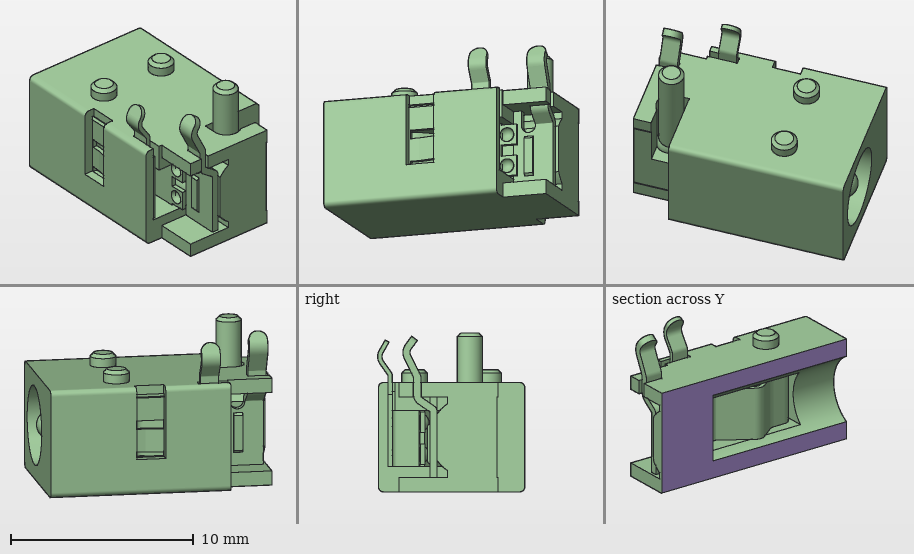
import cadquery as cq
import math


BODY_LENGTH = 10.02
BODY_WIDTH = 8.02
BODY_HEIGHT = 6.0
EDGE_RADIUS = 0.3
TOTAL_LENGTH = 12.5
BORE_Y = 5.01
BORE_Z = BODY_HEIGHT / 2
BORE_RADIUS = 2.2
BORE_DEPTH = 9.0
PEG_X = 4.0
PEG_YS = (1.99, 6.04)
PEG_RADIUS = 0.71
PEG_HEIGHT = 0.7
TOP_CHAMFER = 0.2

PLATE_THICKNESS = 0.8
PLATE_FRONT_Y = 1.12
PLATE_BACK_Y = 6.55
CORE_BACK_Y = 6.5
CORE_FRONT_Y = 3.8
SEAT_Y = 3.22
NOTCH_LENGTH = 1.45

PIN_RADIUS = 0.8
PIN_TIP_X = 0.12
POST_X = 10.8
ELBOW_X = 10.85
POST_RADIUS = 0.7
POST_TOP_Z = 8.7

TERMINAL_WIDTH = 1.02
TIP_RADIUS = 0.5
BEND_RADIUS = 0.56
SHARP_BEND_RADIUS = 0.22

SPRING_THICKNESS = 0.25
WALL_THICKNESS = 0.52
SPRING_Y = WALL_THICKNESS + SPRING_THICKNESS / 2
SHEET_REAR_X = 9.89
SHEET_TOP_Z = 5.32
BLADE_BOTTOM_Z = 1.4
BLADE_TOP_Z = 4.46
BLADE_MID_Z = (BLADE_BOTTOM_Z + BLADE_TOP_Z) / 2
FOLD_X = 3.0
BLADE_ENTRY = (4.32, 2.75)
BLADE_PEAK = (5.6, 3.72)
BLADE_EXIT = (7.69, 2.35)
FOLD_RADIUS = 0.38
ENTRY_BEND_RADIUS = 0.75
PEAK_BEND_RADIUS = 0.44
SPRING_TERMINAL_X = 8.4
SPRING_TAIL_BEND_Z = 6.42
SPRING_TAIL_CREST = (-0.019, 7.38)
SPRING_TAIL_TIP = (0.49, 8.26)
BARB_WIDTH = 1.28
BARB_MID_Z = 2.94
BARB_BEND_X = 5.38
BARB_BEND_RADIUS = 0.14
BARB_CLEARANCE = 0.019
BARB_TIP_Y = 0.45
BARB_SLIT_X = 4.85
BARB_SLIT_TOP_Z = 4.05
FINGER_END_X = 10.36
FINGER_ROOT_X = 9.5
FINGER_WIDTH = 1.12
FINGER_SPACING = 1.75
DIMPLE_X = 9.82
DIMPLE_RADIUS = 0.39
DOME_RADIUS = 0.5
FINGER_FACE_Y = 2.28
FINGER_RISE = 0.04

POCKET_BACK_Y = 0.92
POCKET_TOP_Z = 5.5
CAVITY_FRONT_X = 2.75
CAVITY_BACK_Y = 3.76
WINDOW_X = 4.78
WINDOW_LENGTH = 1.61
WINDOW_BOTTOM_Z = 2.0
WINDOW_DEPTH = 0.64
SPRING_SLOT_X = 8.31

SWITCH_THICKNESS = 0.4
SWITCH_Y = SEAT_Y - SWITCH_THICKNESS / 2
SWITCH_END_X = 12.32
SWITCH_TERMINAL_X = SWITCH_END_X - TERMINAL_WIDTH
CRANK_BEND_RADIUS = 0.38
CRANK_BOTTOM_Z = 4.49
CRANK_TOP_Z = 5.1
SWITCH_TAIL_BEND_Z = 6.3
SWITCH_TAIL_CREST = (1.45, 7.69)
SWITCH_TAIL_TIP = (1.99, 8.41)
SWITCH_TAIL_ROOT_Z = 4.25
SWITCH_STEM_Y = 2.14
SWITCH_SLOT_YS = (1.89, 2.38)
RELIEF_WIDTH = 0.81
RELIEF_BOTTOM_Z = 3.96
RIB_X = 10.68
RIB_WIDTH = 0.5
RIB_HEIGHT = 0.14
RIB_EDGE = 0.006
RIB_ZS = (1.52, 3.75)


def block(x0, x1, y0, y1, z0, z1):
    """Box between two opposite corners."""
    return cq.Workplane("XY").box(x1 - x0, y1 - y0, z1 - z0, centered=False).translate((x0, y0, z0))


def rod_x(radius, x0, x1):
    """Cylinder along X on the bore axis."""
    return cq.Workplane("YZ", origin=(x0, BORE_Y, BORE_Z)).circle(radius).extrude(x1 - x0)


def bent_strip(plane, points, radii, thickness):
    """Closed outline of a sheet strip from the corners and bend radii of its middle line."""
    directions = []
    for (u0, v0), (u1, v1) in zip(points, points[1:]):
        length = math.hypot(u1 - u0, v1 - v0)
        directions.append(((u1 - u0) / length, (v1 - v0) / length))

    def side(offset):
        """One face of the strip: start point, three points on each bend arc, and end point."""
        start = (points[0][0] - directions[0][1] * offset, points[0][1] + directions[0][0] * offset)
        end = (points[-1][0] - directions[-1][1] * offset, points[-1][1] + directions[-1][0] * offset)
        arcs = []
        for corner, before, after, radius in zip(points[1:-1], directions, directions[1:], radii):
            turn = math.atan2(before[0] * after[1] - before[1] * after[0],
                              before[0] * after[0] + before[1] * after[1])
            sign = math.copysign(1, turn)
            setback = radius * math.tan(abs(turn) / 2)
            centre = (corner[0] - before[0] * setback - before[1] * sign * radius,
                      corner[1] - before[1] * setback + before[0] * sign * radius)
            reach = radius - sign * offset
            first_angle = math.atan2(-before[0] * sign, before[1] * sign)
            arcs.append([(centre[0] + reach * math.cos(first_angle + turn * part),
                          centre[1] + reach * math.sin(first_angle + turn * part))
                         for part in (0, 0.5, 1)])
        return start, arcs, end

    left_start, left_arcs, left_end = side(thickness / 2)
    right_start, right_arcs, right_end = side(-thickness / 2)
    outline = cq.Workplane(plane).moveTo(*left_start)
    for first, middle, last in left_arcs:
        outline = outline.lineTo(*first).threePointArc(middle, last)
    outline = outline.lineTo(*left_end).lineTo(*right_end)
    for first, middle, last in reversed(right_arcs):
        outline = outline.lineTo(*last).threePointArc(middle, first)
    return outline.lineTo(*right_start).close()


def terminal(x0, points, radii, thickness):
    """Upright solder tail bent in the YZ plane, with a round tip."""
    tail = bent_strip("YZ", points, radii, thickness).extrude(TERMINAL_WIDTH).translate((x0, 0, 0))
    tip_y, tip_z = points[-1]
    for x in (x0, x0 + TERMINAL_WIDTH):
        corner = cq.selectors.NearestToPointSelector((x, tip_y, tip_z))
        tail = tail.edges(corner).fillet(TIP_RADIUS)
    return tail


def upright_post(x, y, radius, z0, z1):
    """Round post with a chamfered top."""
    post = cq.Workplane("XY", origin=(x, y, z0)).circle(radius).extrude(z1 - z0)
    return post.faces(">Z").chamfer(TOP_CHAMFER)


def make_pin():
    """Round-nosed pin with a vertical solder post at its rear end."""
    elbow = cq.Workplane("XY").sphere(PIN_RADIUS).translate((ELBOW_X, BORE_Y, BORE_Z))
    nose_x = PIN_TIP_X + PIN_RADIUS
    nose = cq.Workplane("XY").sphere(PIN_RADIUS).translate((nose_x, BORE_Y, BORE_Z))
    post = upright_post(POST_X, BORE_Y, POST_RADIUS, BORE_Z, POST_TOP_Z)
    return rod_x(PIN_RADIUS, nose_x, ELBOW_X).union(nose).union(elbow).union(post)


def make_rear_frame():
    """Top and bottom plates with a core wall whose rounded boss carries the switch contact."""
    top_z = BODY_HEIGHT - PLATE_THICKNESS
    core = block(BODY_LENGTH, TOTAL_LENGTH, CORE_FRONT_Y, CORE_BACK_Y, PLATE_THICKNESS, top_z)
    boss = rod_x(BORE_RADIUS, BODY_LENGTH, TOTAL_LENGTH).intersect(
        block(BODY_LENGTH, TOTAL_LENGTH, SEAT_Y, BORE_Y, 0, BODY_HEIGHT)
    )
    frame = core.union(boss)
    for z in (0, top_z):
        plate = block(BODY_LENGTH, TOTAL_LENGTH, PLATE_FRONT_Y, PLATE_BACK_Y, z, z + PLATE_THICKNESS)
        frame = frame.union(plate)
    notch = block(BODY_LENGTH, BODY_LENGTH + NOTCH_LENGTH, BORE_Y, PLATE_BACK_Y, BORE_Z, BODY_HEIGHT)
    post_slot = (
        block(BODY_LENGTH, ELBOW_X, BORE_Y - PIN_RADIUS, BORE_Y + PIN_RADIUS, BORE_Z, BODY_HEIGHT)
        .union(cq.Workplane("XY", origin=(ELBOW_X, BORE_Y, BORE_Z)).circle(PIN_RADIUS).extrude(BORE_Z))
    )
    terminal_slot = block(SWITCH_TERMINAL_X, TOTAL_LENGTH, *SWITCH_SLOT_YS, top_z, BODY_HEIGHT)
    return frame.cut(notch).cut(post_slot).cut(terminal_slot)


def make_housing(pin):
    """Body with pegs, plug bore, spring pocket and window, bored out to hold the pin."""
    body = block(0, BODY_LENGTH, 0, BODY_WIDTH, 0, BODY_HEIGHT).edges("|X").fillet(EDGE_RADIUS)
    housing = body.union(make_rear_frame())
    for y in PEG_YS:
        housing = housing.union(
            upright_post(PEG_X, y, PEG_RADIUS, BODY_HEIGHT, BODY_HEIGHT + PEG_HEIGHT))
    bore = rod_x(BORE_RADIUS, 0, BORE_DEPTH)
    sheet_pocket = block(CAVITY_FRONT_X, BODY_LENGTH, WALL_THICKNESS, POCKET_BACK_Y,
                         BLADE_BOTTOM_Z, POCKET_TOP_Z)
    blade_cavity = block(CAVITY_FRONT_X, BODY_LENGTH, WALL_THICKNESS, CAVITY_BACK_Y,
                         BLADE_BOTTOM_Z, BLADE_TOP_Z)
    terminal_slot = block(SPRING_SLOT_X, BODY_LENGTH, WALL_THICKNESS, POCKET_BACK_Y,
                          POCKET_TOP_Z, BODY_HEIGHT)
    window = block(WINDOW_X, WINDOW_X + WINDOW_LENGTH, 0, WINDOW_DEPTH, WINDOW_BOTTOM_Z, BODY_HEIGHT)
    for opening in (bore, sheet_pocket, blade_cavity, terminal_slot, window):
        housing = housing.cut(opening)
    return housing.cut(pin)


def make_spring_contact():
    """Sheet folded at the front into a blade that bows into the bore and ends in two fingers."""
    blade_path = [
        (SHEET_REAR_X, SPRING_Y),
        (FOLD_X, SPRING_Y),
        (FOLD_X, BLADE_ENTRY[1]),
        BLADE_ENTRY,
        BLADE_PEAK,
        BLADE_EXIT,
        (FINGER_END_X, FINGER_FACE_Y + FINGER_RISE + SPRING_THICKNESS / 2),
    ]
    blade_bends = [FOLD_RADIUS, FOLD_RADIUS, ENTRY_BEND_RADIUS, PEAK_BEND_RADIUS, SHARP_BEND_RADIUS]
    blade_height = BLADE_TOP_Z - BLADE_BOTTOM_Z
    contact = (
        bent_strip("XY", blade_path, blade_bends, SPRING_THICKNESS)
        .extrude(blade_height)
        .translate((0, 0, BLADE_BOTTOM_Z))
    )
    sheet_back_y = WALL_THICKNESS + SPRING_THICKNESS
    contact = contact.union(
        block(FOLD_X + BEND_RADIUS, SHEET_REAR_X, WALL_THICKNESS, sheet_back_y, BLADE_TOP_Z, SHEET_TOP_Z))

    gaps = block(FINGER_ROOT_X, TOTAL_LENGTH, POCKET_BACK_Y, CAVITY_BACK_Y, BLADE_BOTTOM_Z, BLADE_TOP_Z)
    finger_zs = [BLADE_MID_Z + side * FINGER_SPACING / 2 for side in (-1, 1)]
    for z in finger_zs:
        gaps = gaps.cut(block(FINGER_ROOT_X, TOTAL_LENGTH, POCKET_BACK_Y, CAVITY_BACK_Y,
                              z - FINGER_WIDTH / 2, z + FINGER_WIDTH / 2))
    contact = contact.cut(gaps)
    dome_side = block(FINGER_ROOT_X, TOTAL_LENGTH, FINGER_FACE_Y + SPRING_THICKNESS / 2, CAVITY_BACK_Y,
                      BLADE_BOTTOM_Z, BLADE_TOP_Z)
    for z in finger_zs:
        centre = (DIMPLE_X, FINGER_FACE_Y, z)
        dome = cq.Workplane("XY").sphere(DOME_RADIUS).translate(centre).intersect(dome_side)
        dimple = cq.Workplane("XY").sphere(DIMPLE_RADIUS).translate(centre)
        contact = contact.union(dome).cut(dimple)

    window_end_x = WINDOW_X + WINDOW_LENGTH
    contact = contact.cut(
        block(BARB_SLIT_X, window_end_x, WALL_THICKNESS, sheet_back_y, WINDOW_BOTTOM_Z, BARB_SLIT_TOP_Z))
    barb_path = [(BARB_SLIT_X, SPRING_Y), (BARB_BEND_X, SPRING_Y), (window_end_x - BARB_CLEARANCE, BARB_TIP_Y)]
    barb = bent_strip("XY", barb_path, [BARB_BEND_RADIUS], SPRING_THICKNESS).extrude(BARB_WIDTH)
    contact = contact.union(barb.translate((0, 0, BARB_MID_Z - BARB_WIDTH / 2)))

    tail_path = [(SPRING_Y, SHEET_TOP_Z), (SPRING_Y, SPRING_TAIL_BEND_Z), SPRING_TAIL_CREST, SPRING_TAIL_TIP]
    tail = terminal(SPRING_TERMINAL_X, tail_path, [SHARP_BEND_RADIUS, BEND_RADIUS], SPRING_THICKNESS)
    return contact.union(tail)


def make_switch_contact():
    """Flat plate seated on the core wall, with a cranked solder tail at its upper rear corner."""
    top_z = BODY_HEIGHT - PLATE_THICKNESS
    face_y = SEAT_Y - SWITCH_THICKNESS
    plate = block(BODY_LENGTH, SWITCH_END_X, face_y, SEAT_Y, PLATE_THICKNESS, top_z)
    plate = plate.cut(block(SWITCH_TERMINAL_X, SWITCH_END_X, face_y, SEAT_Y, SWITCH_TAIL_ROOT_Z, top_z))
    relief_radius = RELIEF_WIDTH / 2
    relief_x = SWITCH_TERMINAL_X - relief_radius
    relief_z = RELIEF_BOTTOM_Z + relief_radius
    relief = (
        cq.Workplane("XZ", origin=(relief_x, SEAT_Y, 0))
        .moveTo(-relief_radius, top_z)
        .lineTo(-relief_radius, relief_z)
        .threePointArc((0, RELIEF_BOTTOM_Z), (relief_radius, relief_z))
        .lineTo(relief_radius, top_z)
        .close()
        .extrude(SWITCH_THICKNESS)
    )
    rib = (
        block(RIB_X, RIB_X + RIB_WIDTH, face_y - RIB_HEIGHT, face_y, *RIB_ZS)
        .faces("<Y").edges("|X").chamfer(RIB_HEIGHT - RIB_EDGE)
    )
    tail_path = [
        (SWITCH_Y, SWITCH_TAIL_ROOT_Z),
        (SWITCH_Y, CRANK_BOTTOM_Z),
        (SWITCH_STEM_Y, CRANK_TOP_Z),
        (SWITCH_STEM_Y, SWITCH_TAIL_BEND_Z),
        SWITCH_TAIL_CREST,
        SWITCH_TAIL_TIP,
    ]
    tail_bends = [SHARP_BEND_RADIUS, CRANK_BEND_RADIUS, SHARP_BEND_RADIUS, BEND_RADIUS]
    tail = terminal(SWITCH_TERMINAL_X, tail_path, tail_bends, SWITCH_THICKNESS)
    return plate.cut(relief).union(rib).union(tail)


pin = make_pin()
housing = make_housing(pin)
spring_contact = make_spring_contact()
switch_contact = make_switch_contact()

result = cq.Compound.makeCompound(
    [housing.val(), pin.val(), spring_contact.val(), switch_contact.val()])